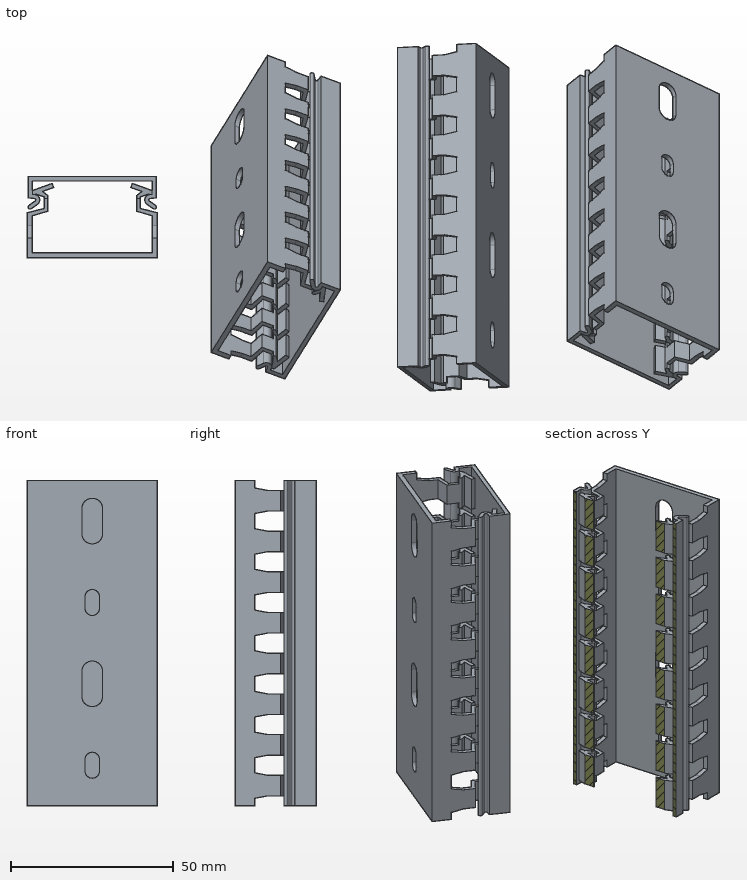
import cadquery as cq
import math


LENGTH = 100.0
WIDTH = 40.0
DEPTH = 25.0
HALF_WIDTH = WIDTH / 2

COVER_HALF_WIDTH = 19.7
COVER_WALL = 1.3
COVER_PLATE = 1.4
SKIRT_BOTTOM = 18.4
LEDGE_BOTTOM = 18.2
BEND_INSET = 2.2
BEND_INNER_RADIUS = 0.4
HOOK_ANGLE = 35.0
HOOK_LEG = 2.3

TRAY_WALL = 1.6
WALL_TOP = 13.9
SHOULDER_RISE = 1.3
NECK_INSET = 5.2
NECK_WALL = 1.2
NECK_TOP = 18.2
WALL_TOP_INSIDE = 12.9
KNEE_HEIGHT = 14.3

HEAD_HEEL_INSET = 1.6
HEAD_HEEL_BOTTOM = LEDGE_BOTTOM + COVER_WALL
HEAD_HEEL_FLAT_END = 2.9
HEAD_HEEL_TOP = 20.7
HEAD_ROOT_BOTTOM = 18.7
TONGUE_TOP = (7.7, 22.9)
TONGUE_BOTTOM = (8.2, 21.6)
HEAD_NOTCH = (4.8, 20.4)
NECK_CORNER_HEIGHT = 19.1

FINGER_PITCH = 12.5
OPENING_WIDTH = 6.1
OPENING_BASE_WIDTH = 4.6
OPENING_BASE = 6.1
OPENING_TAPER_END = 10.0
HEAD_GAP = 2.4

LARGE_SLOT_WIDTH = 6.4
LARGE_SLOT_LENGTH = 14.0
SMALL_SLOT_WIDTH = 4.4
SMALL_SLOT_LENGTH = 8.0
SLOT_SPACING = LENGTH / 4


def both_sides(half_profile):
    """Extrude a left-hand half profile and join it to its mirror image."""
    left = half_profile.extrude(LENGTH)
    return left.union(left.mirror("YZ"))


def from_side(inset, height):
    """Point on the left half, at a distance in from the tray's outer side wall."""
    return (inset - HALF_WIDTH, height)


def tray_blank():
    neck_inside = NECK_INSET + NECK_WALL
    outline = [
        (0, 0),
        from_side(0, 0),
        from_side(0, WALL_TOP),
        from_side(NECK_INSET, WALL_TOP + SHOULDER_RISE),
        from_side(NECK_INSET, HEAD_ROOT_BOTTOM),
        from_side(HEAD_HEEL_FLAT_END, HEAD_HEEL_BOTTOM),
        from_side(HEAD_HEEL_INSET, HEAD_HEEL_BOTTOM),
        from_side(HEAD_HEEL_INSET, HEAD_HEEL_TOP),
        from_side(*TONGUE_TOP),
        from_side(*TONGUE_BOTTOM),
        from_side(*HEAD_NOTCH),
        from_side(neck_inside, NECK_CORNER_HEIGHT),
        from_side(neck_inside, KNEE_HEIGHT),
        from_side(TRAY_WALL, WALL_TOP_INSIDE),
        from_side(TRAY_WALL, TRAY_WALL),
        (0, TRAY_WALL),
    ]
    return both_sides(cq.Workplane("XY").polyline(outline).close())


def finger_opening(z):
    """Cutter for one opening through both side walls, with a narrower gap at the heads."""
    half_base = OPENING_BASE_WIDTH / 2
    half_opening = OPENING_WIDTH / 2
    half_gap = HEAD_GAP / 2
    edge = [
        (OPENING_BASE, half_base),
        (OPENING_TAPER_END, half_opening),
        (NECK_TOP, half_opening),
        (NECK_TOP, half_gap),
        (DEPTH, half_gap),
    ]
    opposite_edge = [(y, -half) for y, half in reversed(edge)]
    return (
        cq.Workplane("YZ")
        .center(0, z)
        .polyline(edge + opposite_edge)
        .close()
        .extrude(HALF_WIDTH, both=True)
    )


def mounting_slot(z, length, width):
    """Cutter for one slot through the tray back, long in Z."""
    return (
        cq.Workplane("XZ")
        .center(0, z)
        .slot2D(length, width, 90)
        .extrude(-TRAY_WALL)
    )


def make_tray():
    tray = tray_blank()
    for index in range(round(LENGTH / FINGER_PITCH) + 1):
        tray = tray.cut(finger_opening(index * FINGER_PITCH))
    first_slot = SLOT_SPACING / 2
    for start in (first_slot, first_slot + 2 * SLOT_SPACING):
        tray = tray.cut(mounting_slot(start, SMALL_SLOT_LENGTH, SMALL_SLOT_WIDTH))
        tray = tray.cut(mounting_slot(start + SLOT_SPACING, LARGE_SLOT_LENGTH, LARGE_SLOT_WIDTH))
    return tray


def make_cover():
    bend_outer_radius = BEND_INNER_RADIUS + COVER_WALL
    bend_x = BEND_INSET - HALF_WIDTH
    bend_y = LEDGE_BOTTOM - BEND_INNER_RADIUS
    slope = math.radians(HOOK_ANGLE)

    def on_bend(radius, angle, along_leg=0.0):
        """Point on the bend, shifted down the leg of the hook."""
        return (
            bend_x + radius * math.cos(angle) - along_leg * math.cos(slope),
            bend_y + radius * math.sin(angle) - along_leg * math.sin(slope),
        )

    bend_start = math.pi / 2
    bend_end = slope - math.pi / 2
    bend_middle = (bend_start + bend_end) / 2
    tip_middle_radius = BEND_INNER_RADIUS + COVER_WALL / 2
    half_profile = (
        cq.Workplane("XY")
        .moveTo(0, DEPTH)
        .lineTo(-COVER_HALF_WIDTH, DEPTH)
        .lineTo(-COVER_HALF_WIDTH, SKIRT_BOTTOM)
        .lineTo(*on_bend(BEND_INNER_RADIUS, bend_start))
        .threePointArc(on_bend(BEND_INNER_RADIUS, bend_middle), on_bend(BEND_INNER_RADIUS, bend_end))
        .lineTo(*on_bend(BEND_INNER_RADIUS, bend_end, HOOK_LEG))
        .threePointArc(
            on_bend(tip_middle_radius, bend_end, HOOK_LEG + COVER_WALL / 2),
            on_bend(bend_outer_radius, bend_end, HOOK_LEG),
        )
        .lineTo(*on_bend(bend_outer_radius, bend_end))
        .threePointArc(on_bend(bend_outer_radius, bend_middle), on_bend(bend_outer_radius, bend_start))
        .lineTo(COVER_WALL - COVER_HALF_WIDTH, bend_y + bend_outer_radius)
        .lineTo(COVER_WALL - COVER_HALF_WIDTH, DEPTH - COVER_PLATE)
        .lineTo(0, DEPTH - COVER_PLATE)
        .close()
    )
    return both_sides(half_profile)


tray = make_tray()
cover = make_cover()

result = cq.Compound.makeCompound([tray.val(), cover.val()])